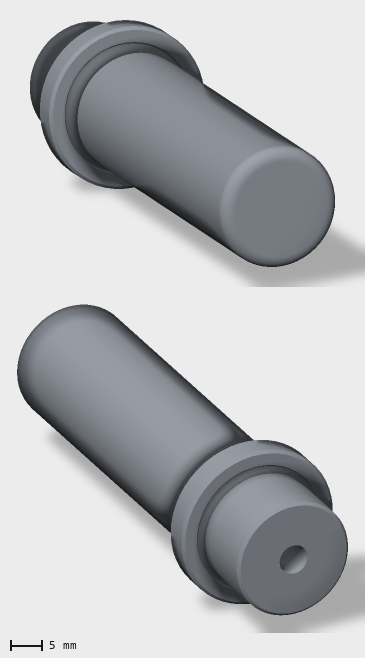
import cadquery as cq
import math

length = 83.0
shaft_radius = 20.0 / 2
flange_radius = 27.0 / 2
edge_chamfer = 0.5

lead_in_end = 3.0
lead_in_radius = shaft_radius - 0.1
undercut_start = 11.9
undercut_floor_start = 12.3
undercut_depth = 0.25
undercut_corner_round = 0.8

flange_start = 13.0
flange_end = 17.9
face_relief_radius = 10.95
face_relief_inner_radius = 10.7
face_relief_depth = 0.25

neck_bottom = 19.7
neck_end = 21.0
neck_depth = 0.6
neck_arc_radius = 2.3

end_round = 2.0

hole_radius = 2.5
hole_depth = 5.0
drill_tip_angle = 120.0


def corner_arc_point(centre_x, centre_r, radius):
    """Middle of a quarter round lying toward +X and outward from its centre."""
    offset = radius * math.sqrt(0.5)
    return centre_x + offset, centre_r + offset


def make_body():
    """Revolve the stepped outline about the X axis."""
    undercut_radius = shaft_radius - undercut_depth
    relief_floor = flange_start + face_relief_depth
    corner_start = relief_floor - undercut_corner_round
    corner_end_radius = undercut_radius + undercut_corner_round
    corner_offset = undercut_corner_round * math.sqrt(0.5)
    neck_radius = shaft_radius - neck_depth

    neck_start_rise = face_relief_inner_radius - neck_radius
    neck_start_angle = math.acos(1 - neck_start_rise / neck_arc_radius)
    neck_start = neck_bottom - neck_arc_radius * math.sin(neck_start_angle)
    neck_mid = neck_bottom - neck_arc_radius * math.sin(neck_start_angle / 2)
    neck_mid_radius = neck_radius + neck_arc_radius * (1 - math.cos(neck_start_angle / 2))

    outline = (
        cq.Workplane("XY")
        .moveTo(0, 0)
        .lineTo(0, lead_in_radius - edge_chamfer)
        .lineTo(edge_chamfer, lead_in_radius)
        .lineTo(lead_in_end, shaft_radius)
        .lineTo(undercut_start, shaft_radius)
        .lineTo(undercut_floor_start, undercut_radius)
        .lineTo(corner_start, undercut_radius)
        .threePointArc(
            (corner_start + corner_offset, corner_end_radius - corner_offset),
            (relief_floor, corner_end_radius),
        )
        .lineTo(relief_floor, face_relief_inner_radius)
        .lineTo(flange_start, face_relief_radius)
        .lineTo(flange_start, flange_radius - edge_chamfer)
        .lineTo(flange_start + edge_chamfer, flange_radius)
        .lineTo(flange_end - edge_chamfer, flange_radius)
        .lineTo(flange_end, flange_radius - edge_chamfer)
        .lineTo(flange_end, face_relief_radius)
        .lineTo(neck_start, face_relief_inner_radius)
        .threePointArc(
            (neck_mid, neck_mid_radius),
            (neck_bottom, neck_radius),
        )
        .lineTo(neck_end, shaft_radius)
        .lineTo(length - end_round, shaft_radius)
        .threePointArc(
            corner_arc_point(length - end_round, shaft_radius - end_round, end_round),
            (length, shaft_radius - end_round),
        )
        .lineTo(length, 0)
        .close()
    )
    return outline.revolve(360, (0, 0, 0), (1, 0, 0))


def make_centre_hole():
    """Blind drilled hole with a conical tip, entering from the spigot end."""
    tip_length = hole_radius / math.tan(math.radians(drill_tip_angle / 2))
    return (
        cq.Workplane("XY")
        .polyline([(0, 0), (0, hole_radius), (hole_depth, hole_radius), (hole_depth + tip_length, 0)])
        .close()
        .revolve(360, (0, 0, 0), (1, 0, 0))
    )


result = make_body().cut(make_centre_hole())